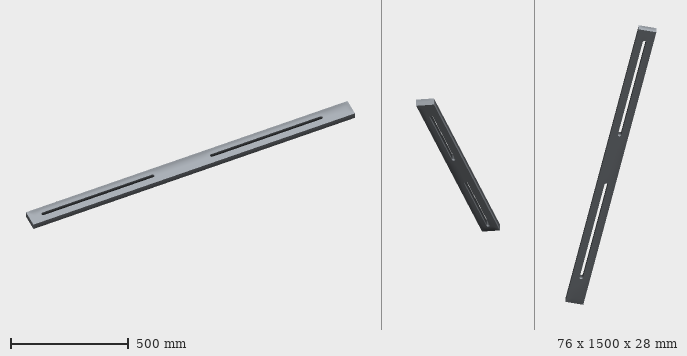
import cadquery as cq

bar_width = 76.0
bar_length = 1500
bar_thickness = 28.0

slot_width = 15.0
slot_length = 525.0
first_slot_start = 55.0
slot_pitch = 786.0


def make_bar():
    return cq.Workplane("XY").box(bar_width, bar_length, bar_thickness)


def cut_slots(body):
    first_center = -bar_length / 2 + first_slot_start + slot_length / 2
    centers = [(0, first_center + i * slot_pitch) for i in range(2)]
    return (
        body.faces(">Z").workplane(origin=(0, 0, 0))
        .pushPoints(centers)
        .slot2D(slot_length, slot_width, angle=90)
        .cutThruAll()
    )


result = cut_slots(make_bar())